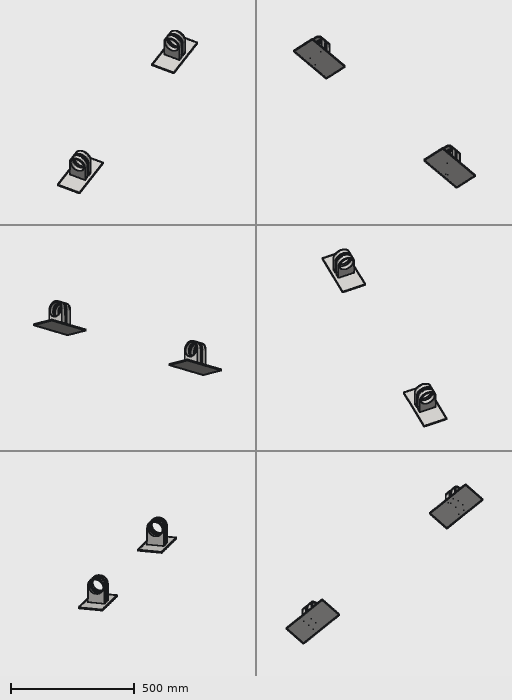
import cadquery as cq

overall_length = 1000.0
plate_width = 100.0
plate_length = 200.0
plate_thickness = 5.0

lug_width = 70.0
lug_thickness = 20.0
lug_gap = 10.0
overall_height = 108.0
bore_diameter = 60.0

crown_radius = lug_width / 2
bore_height = overall_height - crown_radius
lug_offset = (lug_gap + lug_thickness) / 2
bracket_offset = (overall_length - plate_length) / 2


def make_lug(center_y):
    """Upright lug with a round crown and a concentric bore along Y."""
    half_width = lug_width / 2
    return (
        cq.Workplane("XZ", origin=(0, center_y, 0))
        .moveTo(-half_width, plate_thickness)
        .lineTo(half_width, plate_thickness)
        .lineTo(half_width, bore_height)
        .threePointArc((0, overall_height), (-half_width, bore_height))
        .close()
        .moveTo(0, bore_height)
        .circle(bore_diameter / 2)
        .extrude(lug_thickness / 2, both=True)
    )


def make_bracket(center_y):
    """Base plate resting on Z = 0 with two lugs standing on it."""
    bracket = cq.Workplane("XY", origin=(0, center_y, 0)).box(
        plate_width, plate_length, plate_thickness, centered=(True, True, False)
    )
    for side in (-1, 1):
        bracket = bracket.union(make_lug(center_y + side * lug_offset))
    return bracket


brackets = [make_bracket(side * bracket_offset) for side in (-1, 1)]

result = cq.Compound.makeCompound([bracket.val() for bracket in brackets])